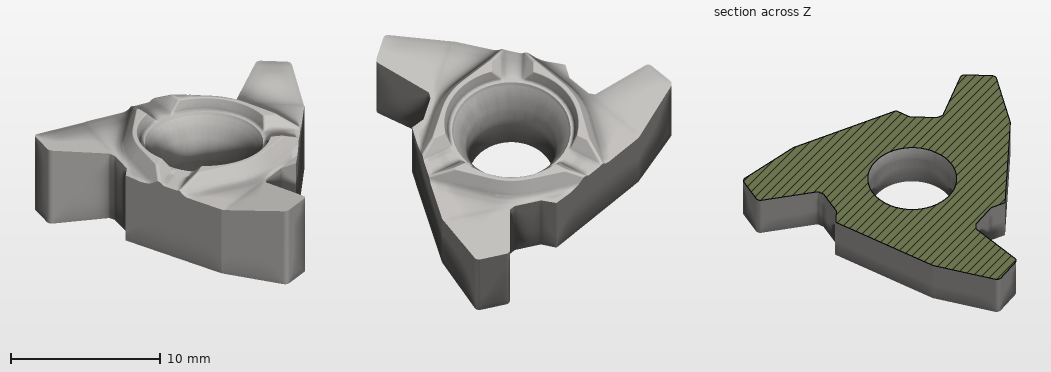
import cadquery as cq
import math

ARM_COUNT = 3
ARM_STEP = 360 / ARM_COUNT

FLOOR_Z = 4.95
TOP_Z = 6.05
SLOT_Z = 5.24

FLANK_DISTANCE = 6.33
WAIST_DISTANCE = 5.97
LUG_DISTANCE = 4.94
TIP_DISTANCE = 10.183
TIP_CENTER_X = -3.975
TIP_WIDTH = 2.31
ARM_SIDE_ANGLE = 15
TIP_RADIUS = 0.35
ROOT_FACET_ANGLE = 30
ROOT_FACET_RUN = 0.33
ROOT_FACET_RADIUS = 0.1
LUG_ROOT_RADIUS = 0.2
LUG_NORMAL_ANGLE = ARM_STEP / 2

RAKE_START = 5.89
RAKE_ANGLE = 10
RAKE_BLEND_RADIUS = 0.7
RAKE_REACH = 12
RAKE_SPAN = 24

CROWN_TOP_RADIUS = 4.79
CROWN_WALL_ANGLE = 54
CROWN_BLEND_RADIUS = 0.65
CROWN_ARC_ANGLE = 32
CROWN_MITER_ANGLE = (ARM_STEP - CROWN_ARC_ANGLE) / 2
CROWN_WALL_LENGTH = 10

SLOT_FLOOR_HALF_WIDTH = 0.59
SLOT_SIDE_ANGLE = 45
SLOT_BLEND_RADIUS = 0.3
SLOT_LENGTH = 10
SLOT_OVERSHOOT = 1
SLOT_EDGE_RADIUS = 0.2
SLOT_EDGE_MIN_RISE = 0.5
SLOT_EDGE_MIN_REACH = CROWN_TOP_RADIUS + 0.05

TOP_EDGE_RADIUS = 0.1
RECESS_EDGE_RADIUS = 0.15

BORE_RADIUS = 5.7 / 2
BORE_MOUTH_RADIUS = 3.87
BORE_MOUTH_DEPTH = 0.18
BORE_FLARE_HEIGHT = 2.92
RECESS_INNER_RADIUS = 3.97
RECESS_FLOOR_RADIUS = 4.2
RECESS_TOP_RADIUS = 4.5
RECESS_BLEND_RADIUS = 0.2


def turned(shape, angle):
    return shape.rotate((0, 0, 0), (0, 0, 1), angle)


def around_axis(shape):
    """Union of the shape with its copies about the Z axis."""
    copies = shape
    for index in range(1, ARM_COUNT):
        copies = copies.union(turned(shape, index * ARM_STEP))
    return copies


def polar(radius, angle):
    return (radius * math.cos(math.radians(angle)), radius * math.sin(math.radians(angle)))


def rotated(point, angle):
    x, y = point
    return polar(math.hypot(x, y), math.degrees(math.atan2(y, x)) + angle)


def toward(start, end, distance):
    length = math.dist(start, end)
    return tuple(a + (b - a) * distance / length for a, b in zip(start, end))


def rounded_corner(before, corner, after, radius):
    """Start, middle and end points of the arc that rounds a corner."""
    to_before = math.atan2(before[1] - corner[1], before[0] - corner[0])
    to_after = math.atan2(after[1] - corner[1], after[0] - corner[0])
    half_angle = math.acos(math.cos(to_before - to_after)) / 2
    setback = radius / math.tan(half_angle)
    start = toward(corner, before, setback)
    end = toward(corner, after, setback)
    chord_middle = tuple((a + b) / 2 for a, b in zip(start, end))
    middle = toward(corner, chord_middle, radius / math.sin(half_angle) - radius)
    return start, middle, end


def profile(plane, corners):
    """Closed outline through (point, corner radius) pairs; the first corner is sharp."""
    sketch = cq.Workplane(plane).moveTo(*corners[0][0])
    for index in range(1, len(corners)):
        point, radius = corners[index]
        if radius == 0:
            sketch = sketch.lineTo(*point)
            continue
        before = corners[index - 1][0]
        after = corners[(index + 1) % len(corners)][0]
        start, middle, end = rounded_corner(before, point, after, radius)
        sketch = sketch.lineTo(*start).threePointArc(middle, end)
    return sketch.close()


def arm_corners():
    """Outline corners of one third, counterclockwise from the shoulder to the lug."""
    side_slope = math.tan(math.radians(ARM_SIDE_ANGLE))
    tip_left = TIP_CENTER_X - TIP_WIDTH / 2
    tip_right = TIP_CENTER_X + TIP_WIDTH / 2
    shoulder_y = -TIP_DISTANCE + (FLANK_DISTANCE + tip_left) / side_slope
    root_x = tip_right + (TIP_DISTANCE - WAIST_DISTANCE) * side_slope
    facet_depth = ROOT_FACET_RUN / (1 / math.tan(math.radians(ROOT_FACET_ANGLE)) - side_slope)
    cos_normal = math.cos(math.radians(LUG_NORMAL_ANGLE))
    sin_normal = math.sin(math.radians(LUG_NORMAL_ANGLE))
    lug_root_x = (WAIST_DISTANCE * sin_normal - LUG_DISTANCE) / cos_normal
    lug_x = (FLANK_DISTANCE - LUG_DISTANCE) / (2 * cos_normal)
    lug_y = -(FLANK_DISTANCE + LUG_DISTANCE) / (2 * sin_normal)
    return [
        ((-FLANK_DISTANCE, shoulder_y), 0),
        ((tip_left, -TIP_DISTANCE), TIP_RADIUS),
        ((tip_right, -TIP_DISTANCE), TIP_RADIUS),
        ((root_x - facet_depth * side_slope, -WAIST_DISTANCE - facet_depth), ROOT_FACET_RADIUS),
        ((root_x + ROOT_FACET_RUN, -WAIST_DISTANCE), ROOT_FACET_RADIUS),
        ((lug_root_x, -WAIST_DISTANCE), LUG_ROOT_RADIUS),
        ((lug_x, lug_y), 0),
    ]


def outline_prism(height):
    """Plan outline of the whole insert, extruded up from the seating face."""
    corners = []
    for index in range(ARM_COUNT):
        for point, radius in arm_corners():
            corners.append((rotated(point, index * ARM_STEP), radius))
    return profile("XY", corners).extrude(height)


def rake_wedges():
    """Material that rises from the chip floor towards each arm tip."""
    reach_z = FLOOR_Z + (RAKE_REACH - RAKE_START) * math.tan(math.radians(RAKE_ANGLE))
    corners = [
        ((0, 0), 0),
        ((0, FLOOR_Z), 0),
        ((-RAKE_START, FLOOR_Z), RAKE_BLEND_RADIUS),
        ((-RAKE_REACH, reach_z), 0),
        ((-RAKE_REACH, 0), 0),
    ]
    wedge = profile("YZ", corners).extrude(RAKE_SPAN / 2, both=True)
    inner_side = cq.Workplane("XY").box(RAKE_SPAN, RAKE_START, TOP_Z, centered=(True, True, False))
    return around_axis(wedge.cut(inner_side))


def crown_profile(plane):
    """Half section of the crown: sloped wall blended into the chip floor."""
    wall_run = (TOP_Z - FLOOR_Z) / math.tan(math.radians(CROWN_WALL_ANGLE))
    foot_radius = CROWN_TOP_RADIUS + wall_run
    outer_radius = foot_radius + CROWN_BLEND_RADIUS
    corners = [
        ((0, 0), 0),
        ((0, TOP_Z), 0),
        ((CROWN_TOP_RADIUS, TOP_Z), 0),
        ((foot_radius, FLOOR_Z), CROWN_BLEND_RADIUS),
        ((outer_radius, FLOOR_Z), 0),
        ((outer_radius, 0), 0),
    ]
    return profile(plane, corners)


def crown_wall(side):
    """Straight wall facing +X, running along Y to the slot on the given side (+1 or -1)."""
    wall = crown_profile("XZ").extrude(-side * CROWN_WALL_LENGTH)
    miter_length = CROWN_WALL_LENGTH / math.cos(math.radians(CROWN_MITER_ANGLE))
    miter = (
        cq.Workplane("XY")
        .polyline([(0, 0), (CROWN_WALL_LENGTH, 0), polar(miter_length, side * CROWN_MITER_ANGLE)])
        .close()
        .extrude(TOP_Z)
    )
    return wall.intersect(miter)


def crown():
    """Three round sectors, each continued by a straight wall at both ends."""
    arc_end = -90
    arc_start = arc_end - CROWN_ARC_ANGLE
    round_sector = crown_profile("XZ").revolve(CROWN_ARC_ANGLE, (0, 0), (0, 1))
    sector = (
        turned(round_sector, arc_start)
        .union(turned(crown_wall(1), arc_end))
        .union(turned(crown_wall(-1), arc_start))
    )
    return around_axis(sector)


def slots():
    """V-shaped radial slots, one along each crown corner."""
    slot_angle = -90 + CROWN_MITER_ANGLE
    top_z = TOP_Z + SLOT_OVERSHOOT
    side_run = (top_z - SLOT_Z) / math.tan(math.radians(SLOT_SIDE_ANGLE))
    top_half_width = SLOT_FLOOR_HALF_WIDTH + side_run
    corners = [
        ((-top_half_width, top_z), 0),
        ((-SLOT_FLOOR_HALF_WIDTH, SLOT_Z), SLOT_BLEND_RADIUS),
        ((SLOT_FLOOR_HALF_WIDTH, SLOT_Z), SLOT_BLEND_RADIUS),
        ((top_half_width, top_z), 0),
    ]
    slot = profile("YZ", corners).extrude(SLOT_LENGTH)
    return around_axis(turned(slot, slot_angle))


def slotted_crown():
    """Crown with its slots; the edges between slot sides and crown walls are rounded."""

    def is_slot_wall_edge(edge):
        top_point = max(edge.startPoint(), edge.endPoint(), key=lambda point: point.z)
        return (
            edge.geomType() == "LINE"
            and edge.BoundingBox().zlen > SLOT_EDGE_MIN_RISE
            and math.hypot(top_point.x, top_point.y) > SLOT_EDGE_MIN_REACH
            and top_point.z > SLOT_Z
        )

    return crown().cut(slots()).edges().filter(is_slot_wall_edge).fillet(SLOT_EDGE_RADIUS)


def recess():
    """Round recess inside the crown, level with the slot floors."""
    corners = [
        ((0, TOP_Z), 0),
        ((0, SLOT_Z), 0),
        ((RECESS_FLOOR_RADIUS, SLOT_Z), RECESS_BLEND_RADIUS),
        ((RECESS_TOP_RADIUS, TOP_Z), 0),
    ]
    return profile("XZ", corners).revolve(360, (0, 0), (0, 1))


def bore():
    """Through bore that flares out in an arc and ends in a beveled mouth."""
    mouth_z = SLOT_Z - BORE_MOUTH_DEPTH
    flare_z = mouth_z - BORE_FLARE_HEIGHT
    return (
        cq.Workplane("XZ")
        .lineTo(BORE_RADIUS, 0)
        .lineTo(BORE_RADIUS, flare_z)
        .tangentArcPoint((BORE_MOUTH_RADIUS, mouth_z), relative=False)
        .lineTo(RECESS_INNER_RADIUS, SLOT_Z)
        .lineTo(0, SLOT_Z)
        .close()
        .revolve(360, (0, 0), (0, 1))
    )


def is_slot_recess_edge(edge):
    """Edge between a slot side and the recess wall, climbing from the slot to the crown top."""
    center = edge.Center()
    box = edge.BoundingBox()
    inside_recess = math.hypot(center.x, center.y) < RECESS_TOP_RADIUS
    return inside_recess and box.zlen > SLOT_EDGE_MIN_RISE and box.zmin > SLOT_Z


body = outline_prism(FLOOR_Z)
raised_features = rake_wedges().union(slotted_crown()).intersect(outline_prism(TOP_Z))
insert = body.union(raised_features).cut(recess()).cut(bore())
insert = insert.edges().filter(is_slot_recess_edge).fillet(RECESS_EDGE_RADIUS)
result = insert.faces(">Z").edges().fillet(TOP_EDGE_RADIUS)